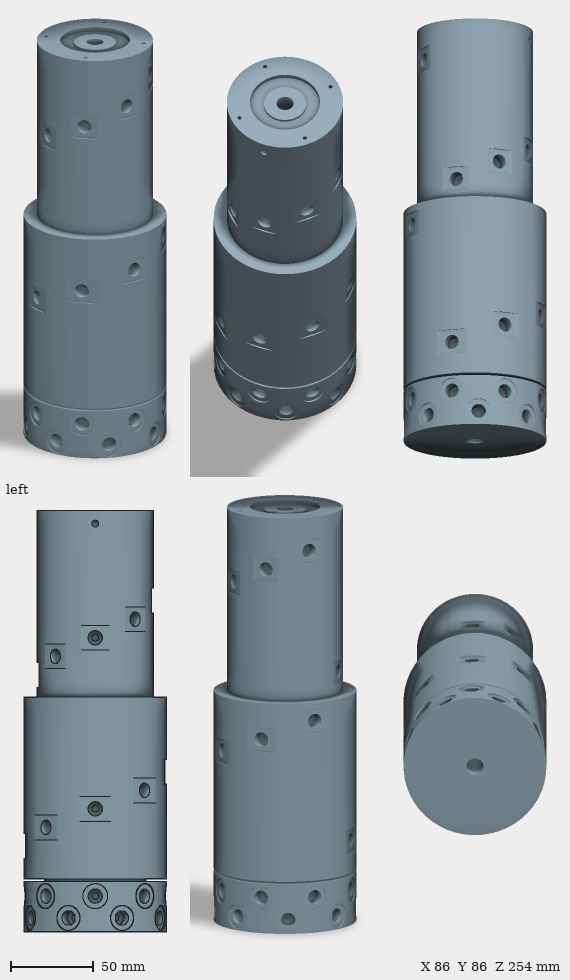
import cadquery as cq
import math

total_height = 254.0
base_diameter = 86.0
column_diameter = 70.0
neck_diameter = 61.2
ring_height = 30.5
neck_height = 1.5
shoulder_height = 141.5

drill_tip_angle = 118

bore_diameter = 10.2
recess_diameter = 42.2
recess_depth = 2.8
hub_diameter = 25.5
hub_drop = 1.3
top_hole_diameter = 2.5
top_hole_depth = 5.0
top_hole_circle = 60.0
top_hole_count = 4

vent_diameter = 4.0
vent_depth = 3.0
vent_height = 246.0

port_count = 8
port_pitch = 360 / port_count
port_diameter = 8.6
port_floor_diameter = 4.0
port_depth = 8.6

helix_start_angle = 90
helix_rise = 11.2
flat_height = 15.0
flat_depth = 1.0
column_row_start = 155.0
base_row_start = 51.8

spotface_diameter = 15.0
spotface_depth = 1.0
upper_row_height = 21.5
lower_row_height = 8.5


def cylinder(diameter, bottom, top):
    return cq.Workplane("XY").workplane(offset=bottom).circle(diameter / 2).extrude(top - bottom)


def placed(tool, angle, height):
    """Turn a tool made along +X to the given angle about Z and lift it to the given height."""
    return tool.rotate((0, 0, 0), (0, 0, 1), angle).translate((0, 0, height))


def drill(diameter, depth, floor_diameter=0):
    """Drill tool along the X axis, with its mouth at X = 0, its conical end at -X and spare length at +X.

    A floor diameter ends the cone in a small flat instead of a point.
    """
    radius = diameter / 2
    floor_radius = floor_diameter / 2
    tip_length = (radius - floor_radius) / math.tan(math.radians(drill_tip_angle / 2))
    profile = cq.Workplane("XZ").moveTo(-depth - tip_length, 0)
    if floor_radius > 0:
        profile = profile.lineTo(-depth - tip_length, floor_radius)
    return (
        profile.lineTo(-depth, radius)
        .lineTo(diameter, radius)
        .lineTo(diameter, 0)
        .close()
        .revolve(360, (0, 0, 0), (1, 0, 0))
    )


def port(mouth_radius):
    """Radial port starting at the given distance from the axis."""
    return drill(port_diameter, port_depth, port_floor_diameter).translate((mouth_radius, 0, 0))


def flat_port(body_diameter):
    """Port opening on a flat cut across a cylindrical body."""
    mouth_radius = body_diameter / 2 - flat_depth
    flat = (
        cq.Workplane("XY")
        .box(flat_depth, body_diameter, flat_height, centered=(False, True, True))
        .translate((mouth_radius, 0, 0))
    )
    below_surface = cylinder(body_diameter, -flat_height, flat_height)
    return flat.union(port(mouth_radius)).intersect(below_surface)


def spotfaced_port():
    """Port opening on a round spotface."""
    mouth_radius = base_diameter / 2 - spotface_depth
    spotface = (
        cq.Workplane("YZ")
        .workplane(offset=mouth_radius)
        .circle(spotface_diameter / 2)
        .extrude(spotface_depth)
    )
    return spotface.union(port(mouth_radius))


def cut_port_row(body, tool, start_angle, start_height, rise=0):
    """Cut one turn of ports, each higher than the one before by the given rise."""
    for index in range(port_count):
        angle = start_angle + index * port_pitch
        body = body.cut(placed(tool, angle, start_height + index * rise))
    return body


neck_top = ring_height + neck_height
body = (
    cylinder(base_diameter, 0, ring_height)
    .union(cylinder(neck_diameter, ring_height, neck_top))
    .union(cylinder(base_diameter, neck_top, shoulder_height))
    .union(cylinder(column_diameter, shoulder_height, total_height))
)

recess_floor = total_height - recess_depth
body = (
    body.cut(cylinder(recess_diameter, recess_floor, total_height))
    .union(cylinder(hub_diameter, recess_floor, total_height - hub_drop))
    .cut(cylinder(bore_diameter, 0, total_height))
)

top_hole = (
    drill(top_hole_diameter, top_hole_depth)
    .rotate((0, 0, 0), (0, 1, 0), -90)
    .translate((top_hole_circle / 2, 0, 0))
)
top_hole_pitch = 360 / top_hole_count
for index in range(top_hole_count):
    body = body.cut(placed(top_hole, (index + 0.5) * top_hole_pitch, total_height))

vent = drill(vent_diameter, vent_depth).translate((column_diameter / 2, 0, 0))
body = body.cut(placed(vent, 180, vent_height))

body = cut_port_row(body, flat_port(column_diameter), helix_start_angle, column_row_start, helix_rise)
body = cut_port_row(body, flat_port(base_diameter), helix_start_angle, base_row_start, helix_rise)
body = cut_port_row(body, spotfaced_port(), 0, upper_row_height)
body = cut_port_row(body, spotfaced_port(), port_pitch / 2, lower_row_height)

result = body